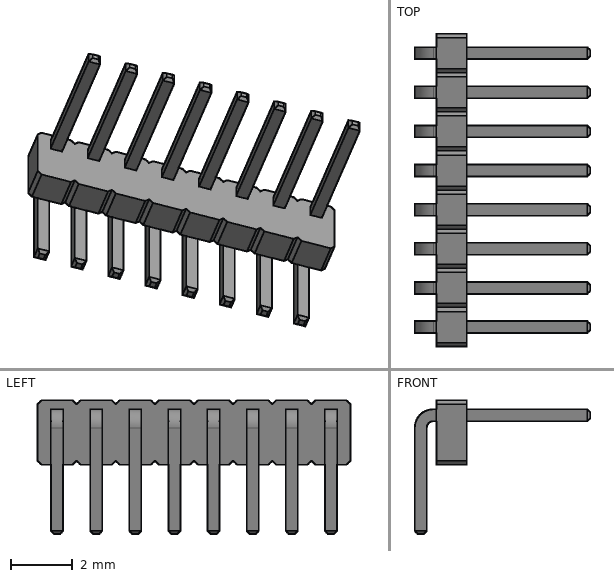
import cadquery as cq

pin_count = 8
row_length = 10.16
pitch = row_length / pin_count

pin_reach = 5.7
pin_drop = 4.05
pin_width = 0.4
bend_inner_radius = 0.2
bend_outer_radius = bend_inner_radius + pin_width
tip_chamfer = 0.1

housing_start = 0.7
housing_depth = 1.0
housing_height = 2.1
housing_top = 4.35
housing_bottom = housing_top - housing_height
corner_chamfer = 0.13


def make_housing_cell(center_y):
    """One pitch of the housing; neighbouring corner chamfers form the V notches."""
    return (
        cq.Workplane("XY")
        .box(housing_depth, pitch, housing_height, centered=(False, True, False))
        .edges("|X")
        .chamfer(corner_chamfer)
        .translate((housing_start, center_y, housing_bottom))
    )


def make_pin(center_y):
    """An L-shaped square pin with a rounded bend and chamfered tips."""
    blank = (
        cq.Workplane("XZ")
        .moveTo(0, 0)
        .lineTo(pin_width, 0)
        .lineTo(pin_width, pin_drop - bend_outer_radius)
        .radiusArc((bend_outer_radius, pin_drop - pin_width), bend_inner_radius)
        .lineTo(pin_reach, pin_drop - pin_width)
        .lineTo(pin_reach, pin_drop)
        .lineTo(bend_outer_radius, pin_drop)
        .radiusArc((0, pin_drop - bend_outer_radius), -bend_outer_radius)
        .close()
        .extrude(pin_width / 2, both=True)
    )
    pin = blank.faces("<Z").chamfer(tip_chamfer).faces(">X").chamfer(tip_chamfer)
    return pin.translate((0, center_y, 0))


result = cq.Workplane("XY")
for index in range(pin_count):
    center_y = (index - (pin_count - 1) / 2) * pitch
    result = result.union(make_housing_cell(center_y)).union(make_pin(center_y))
result = result.clean()